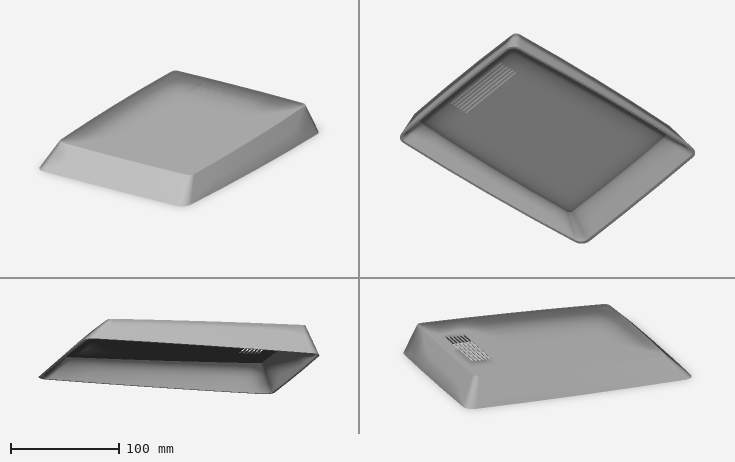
import cadquery as cq
import math

base_half_width = 85.7
base_half_length = 114.0
base_side_bulge = 2.5
base_end_bulge = 1.0
base_corner_radius = 10.0

top_half_width = 76.5
top_back_y = 102.5
top_front_y = -90.7
top_side_bulge = 2.3
top_end_bulge = 1.4
top_corner_radius = 5.0
back_height = 28.7
front_height = 22.0

wall = 2.0

slot_count = 6
slot_length = 71.5
slot_width = 1.8
slot_row_span = 17.5
slot_row_y = 79.1
slot_tilt = 40.0
slot_reach = 4.5

top_run = top_back_y - top_front_y
top_drop = back_height - front_height
top_slope = math.atan2(top_drop, top_run)


def bowed_outline(half_width, half_length, side_bulge, end_bulge, corner_radius):
    """Wire of a rounded rectangle whose four sides bow outwards, centred on XY."""
    corner_x = half_width - side_bulge
    corner_y = half_length - end_bulge
    plate = (
        cq.Workplane("XY")
        .moveTo(-corner_x, -corner_y)
        .threePointArc((0, -half_length), (corner_x, -corner_y))
        .threePointArc((half_width, 0), (corner_x, corner_y))
        .threePointArc((0, half_length), (-corner_x, corner_y))
        .threePointArc((-half_width, 0), (-corner_x, -corner_y))
        .close()
        .extrude(2.3)
        .edges("|Z")
        .fillet(corner_radius)
    )
    return plate.faces("<Z").val().outerWire()


def top_height(y):
    """Height of the sloping top surface at a given Y."""
    return front_height + (y - top_front_y) * math.tan(top_slope)


def tapered_body(base_sizes, top_sizes, base_radius, top_radius, drop):
    """Body ruled between a flat base and the sloping top, with the top lowered by drop.

    Sizes are (half width, back Y, front Y).
    """
    base_x, base_back, base_front = base_sizes
    top_x, top_back, top_front = top_sizes
    base = bowed_outline(base_x, (base_back - base_front) / 2, base_side_bulge, base_end_bulge, base_radius)
    top_half_length = (top_back - top_front) / 2 / math.cos(top_slope)
    top = bowed_outline(top_x, top_half_length, top_side_bulge, top_end_bulge, top_radius)

    base_middle = (base_back + base_front) / 2
    top_middle = (top_back + top_front) / 2
    base_place = cq.Location(cq.Vector(0, base_middle, 0))
    top_centre = cq.Vector(0, top_middle, top_height(top_middle) - drop)
    top_place = cq.Location(top_centre, cq.Vector(1, 0, 0), math.degrees(top_slope))
    return cq.Workplane(cq.Solid.makeLoft([base.moved(base_place), top.moved(top_place)], True))


def inset_side(base_edge, top_edge, height):
    """Distances from the origin of a leaning side's inner face, at the base and under the top."""
    lean = (base_edge - top_edge) / height
    inset = wall * math.hypot(1, lean)
    return base_edge - inset, top_edge + wall * lean - inset


def cavity():
    """Inside of the shell, one wall thickness within every outer face but the base."""
    mean_height = (back_height + front_height) / 2
    base_x, top_x = inset_side(base_half_width, top_half_width, mean_height)
    base_back, top_back = inset_side(base_half_length, top_back_y, back_height)
    base_front, top_front = inset_side(base_half_length, -top_front_y, front_height)
    return tapered_body(
        (base_x, base_back, -base_front),
        (top_x, top_back, -top_front),
        base_corner_radius - wall,
        top_corner_radius - wall,
        wall / math.cos(top_slope),
    )


def vent_slot(y):
    """Slanted cutter for one slot whose mouth is centred at the given Y."""
    shift = slot_reach * math.tan(math.radians(slot_tilt))
    half_width = slot_width / 2
    return (
        cq.Workplane("YZ", origin=(0, y, top_height(y)))
        .polyline(
            [
                (-half_width - shift, -slot_reach),
                (half_width - shift, -slot_reach),
                (half_width + shift, slot_reach),
                (-half_width + shift, slot_reach),
            ]
        )
        .close()
        .extrude(slot_length / 2, both=True)
    )


housing = tapered_body(
    (base_half_width, base_half_length, -base_half_length),
    (top_half_width, top_back_y, top_front_y),
    base_corner_radius,
    top_corner_radius,
    0,
)
result = housing.cut(cavity())

slot_pitch = slot_row_span / (slot_count - 1)
for index in range(slot_count):
    result = result.cut(vent_slot(slot_row_y - slot_row_span / 2 + index * slot_pitch))